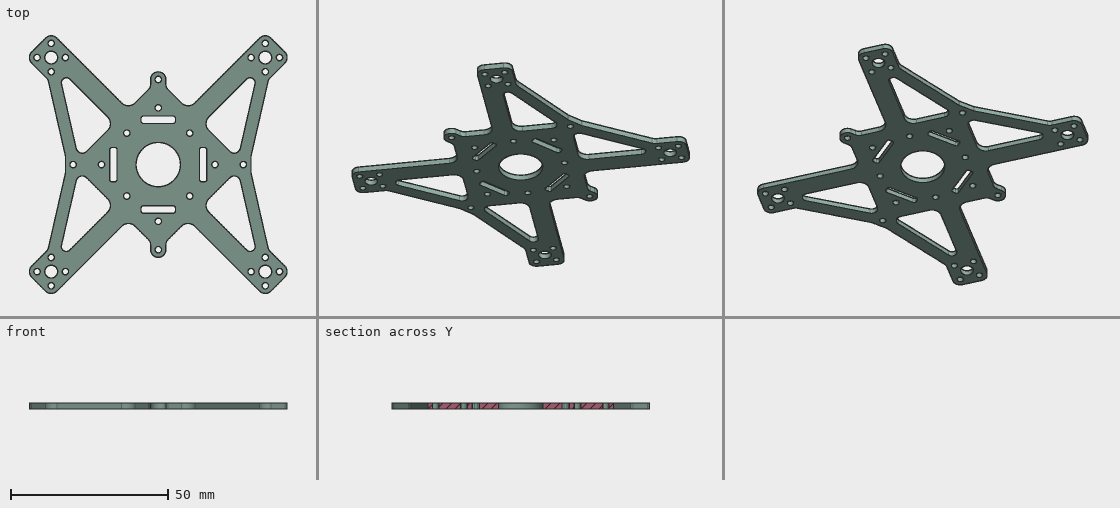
import cadquery as cq
import math

size = 82.0
thickness = 2.0

motor_offset = 34.0
arm_half_width = 5.65
motor_bore = 4.0
motor_screw_radius = 4.5
arm_intercept = arm_half_width * math.sqrt(2)
arm_tip_overhang = motor_offset + arm_intercept - size / 2
arm_tip_radius = arm_tip_overhang / (math.sqrt(2) - 1)

diamond_reach = 27.0
center_bore = 14.0
tab_hole_offset = 27.05
tab_radius = 2.5
tab_fillet = 2.4
notch_fillet = 3.0

side_x = tab_hole_offset + tab_radius
side_half_length = 2.6
strut_end_x = 35.1
strut_end_y = strut_end_x - arm_intercept
strut_width = 3.9
strut_fillet = 2.7
side_fillet = 1.0

window_arm_edge = 1.0
window_inner_radius = 3.0
window_arm_radius = 1.55
window_side_radius = 2.0

screw_diameter = 2.0
inner_hole_offset = 18.0
stack_hole_offset = 10.0
slot_offset = 14.3
slot_length = 10.8
slot_width = 2.3
slot_corner_radius = 0.65

QUADRANTS = [(1, 1), (-1, 1), (-1, -1), (1, -1)]


def prism(points):
    return cq.Workplane("XY").polyline(points).close().extrude(thickness)


def round_corner(body, x, y, radius):
    """Fillet the vertical edge standing at (x, y)."""
    corner = cq.selectors.NearestToPointSelector((x, y, thickness / 2))
    return body.edges("|Z").edges(corner).fillet(radius)


def crossing(total, sign, line_x, slope):
    """Meet the line x + sign * y = total with the line x = line_x + slope * y."""
    y = (total - line_x) / (slope + sign)
    return (line_x + slope * y, y)


def arm_pair():
    """Bar through the centre holding two opposite arms, lying along X."""
    length = 2 * (motor_offset * math.sqrt(2) + arm_half_width)
    bar = cq.Workplane("XY").rect(length, 2 * arm_half_width).extrude(thickness)
    return bar.edges("|Z").fillet(arm_tip_radius)


def center_diamond():
    r = diamond_reach
    return prism([(r, 0), (0, r), (-r, 0), (0, -r)])


def tabs():
    bar = cq.Workplane("XY").rect(2 * tab_radius, 2 * tab_hole_offset).extrude(thickness)
    ends = (
        cq.Workplane("XY")
        .pushPoints([(0, tab_hole_offset), (0, -tab_hole_offset)])
        .circle(tab_radius)
        .extrude(thickness)
    )
    return bar.union(ends)


def side_panel(side):
    """Solid area between the two arms on one side, before its windows are cut."""
    return prism([
        (0, 0),
        (side * strut_end_x, strut_end_y),
        (side * side_x, side_half_length),
        (side * side_x, -side_half_length),
        (side * strut_end_x, -strut_end_y),
    ])


def window(sx, sy):
    """Rounded triangle between an arm, the diamond and a strut."""
    slope = (strut_end_x - side_x) / (strut_end_y - side_half_length)
    strut_outer_x = side_x - slope * side_half_length
    strut_inner_x = strut_outer_x - strut_width * math.hypot(1, slope)
    inner = ((diamond_reach + window_arm_edge) / 2, (diamond_reach - window_arm_edge) / 2)
    arm_end = crossing(window_arm_edge, -1, strut_inner_x, slope)
    side_end = crossing(diamond_reach, 1, strut_inner_x, slope)
    corners = [(sx * x, sy * y) for x, y in (inner, arm_end, side_end)]
    radii = [window_inner_radius, window_arm_radius, window_side_radius]
    body = prism(corners)
    for (x, y), radius in zip(corners, radii):
        body = round_corner(body, x, y, radius)
    return body


def holes(points, diameter):
    return cq.Workplane("XY").pushPoints(points).circle(diameter / 2).extrude(thickness)


def slot(angle):
    body = cq.Workplane("XY").center(slot_offset, 0).rect(slot_width, slot_length).extrude(thickness)
    return body.edges("|Z").fillet(slot_corner_radius).rotate((0, 0, 0), (0, 0, 1), angle)


def around(radius):
    """Four points at this radius on the X and Y axes."""
    return [(radius, 0), (0, radius), (-radius, 0), (0, -radius)]


plate = center_diamond().union(tabs())
for side in (1, -1):
    plate = plate.union(side_panel(side))
    plate = plate.union(arm_pair().rotate((0, 0, 0), (0, 0, 1), side * 45))
plate = plate.clean()

notch_x = (diamond_reach - arm_intercept) / 2
notch_y = (diamond_reach + arm_intercept) / 2
for sx, sy in QUADRANTS:
    plate = round_corner(plate, sx * notch_x, sy * notch_y, notch_fillet)
    plate = round_corner(plate, sx * tab_radius, sy * (diamond_reach - tab_radius), tab_fillet)
    plate = round_corner(plate, sx * strut_end_x, sy * strut_end_y, strut_fillet)
    plate = round_corner(plate, sx * side_x, sy * side_half_length, side_fillet)

for sx, sy in QUADRANTS:
    plate = plate.cut(window(sx, sy))
for angle in (0, 90, 180, 270):
    plate = plate.cut(slot(angle))

motor_centers = [(sx * motor_offset, sy * motor_offset) for sx, sy in QUADRANTS]
screw_points = [(sx * stack_hole_offset, sy * stack_hole_offset) for sx, sy in QUADRANTS]
screw_points += around(inner_hole_offset) + around(tab_hole_offset)
for mx, my in motor_centers:
    screw_points += [(mx + dx, my + dy) for dx, dy in around(motor_screw_radius)]

plate = plate.cut(holes([(0, 0)], center_bore))
plate = plate.cut(holes(motor_centers, motor_bore))
result = plate.cut(holes(screw_points, screw_diameter))